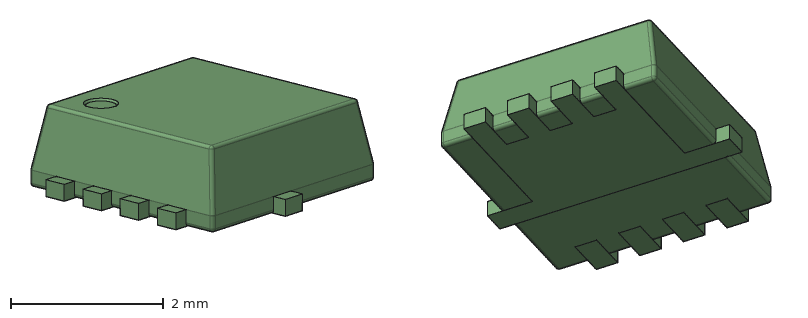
import cadquery as cq
import math

SPAN = 3.61
HEIGHT = 1.12

BODY_WIDTH = 3.205
BAND_HEIGHT = 0.23
DRAFT_ANGLE = 10.0
EDGE_RADIUS = 0.05

MARK_OFFSET = 0.94
MARK_DIAMETER = 0.46
MARK_FLOOR_DIAMETER = 0.405
MARK_DEPTH = 0.03

LEAD_COUNT = 4
LEAD_PITCH = 0.65
LEAD_WIDTH = 0.32
LEAD_LENGTH = 0.578

TAB_WIDTH = 0.34
TAB_Y = -0.23
PAD_FRONT = TAB_Y - TAB_WIDTH / 2
PAD_REAR = SPAN / 2 - LEAD_LENGTH
PAD_WIDTH = (LEAD_COUNT - 1) * LEAD_PITCH + LEAD_WIDTH

LEAD_POSITIONS = [(i - (LEAD_COUNT - 1) / 2) * LEAD_PITCH for i in range(LEAD_COUNT)]


def make_bar(x_min, x_max, y_min, y_max):
    """Flat bar of lead thickness resting on the mounting plane."""
    return (
        cq.Workplane("XY")
        .box(x_max - x_min, y_max - y_min, BAND_HEIGHT, centered=False)
        .translate((x_min, y_min, 0))
    )


def make_front_lead(x_center):
    """Separate lead on the -Y side."""
    half_width = LEAD_WIDTH / 2
    tip = -SPAN / 2
    return make_bar(x_center - half_width, x_center + half_width, tip, tip + LEAD_LENGTH)


def make_thermal_pad():
    """Central plate in one piece with the four +Y leads and the two side tabs."""
    pad = make_bar(-PAD_WIDTH / 2, PAD_WIDTH / 2, PAD_FRONT, PAD_REAR)
    side_tabs = make_bar(-SPAN / 2, SPAN / 2, PAD_FRONT, PAD_FRONT + TAB_WIDTH)
    pad = pad.union(side_tabs)
    half_width = LEAD_WIDTH / 2
    for x_center in LEAD_POSITIONS:
        rear_lead = make_bar(x_center - half_width, x_center + half_width, PAD_REAR, SPAN / 2)
        pad = pad.union(rear_lead)
    return pad


def make_pin_mark():
    """Cutter for the tapered dimple that marks pin 1."""
    taper = math.degrees(math.atan((MARK_DIAMETER - MARK_FLOOR_DIAMETER) / 2 / MARK_DEPTH))
    return (
        cq.Workplane("XY", origin=(-MARK_OFFSET, -MARK_OFFSET, HEIGHT))
        .circle(MARK_DIAMETER / 2)
        .extrude(-MARK_DEPTH, taper=taper)
    )


def make_housing(embedded_metal):
    """Drafted block with rounded edges, the pin 1 mark and recesses for the metal parts."""
    band = cq.Workplane("XY").rect(BODY_WIDTH, BODY_WIDTH).extrude(BAND_HEIGHT)
    drafted_top = (
        cq.Workplane("XY", origin=(0, 0, BAND_HEIGHT))
        .rect(BODY_WIDTH, BODY_WIDTH)
        .extrude(HEIGHT - BAND_HEIGHT, taper=DRAFT_ANGLE)
    )
    block = band.union(drafted_top)

    crease = cq.selectors.BoxSelector(
        (-SPAN, -SPAN, BAND_HEIGHT - EDGE_RADIUS),
        (SPAN, SPAN, BAND_HEIGHT + EDGE_RADIUS),
    )
    block = block.edges(cq.selectors.InverseSelector(crease)).fillet(EDGE_RADIUS)

    housing = block.cut(make_pin_mark())
    for metal_part in embedded_metal:
        housing = housing.cut(metal_part)
    return housing


front_leads = [make_front_lead(x_center) for x_center in LEAD_POSITIONS]
thermal_pad = make_thermal_pad()
housing = make_housing([*front_leads, thermal_pad])

result = cq.Compound.makeCompound(
    [housing.solids().val(), thermal_pad.solids().val(), *[lead.val() for lead in front_leads]]
)